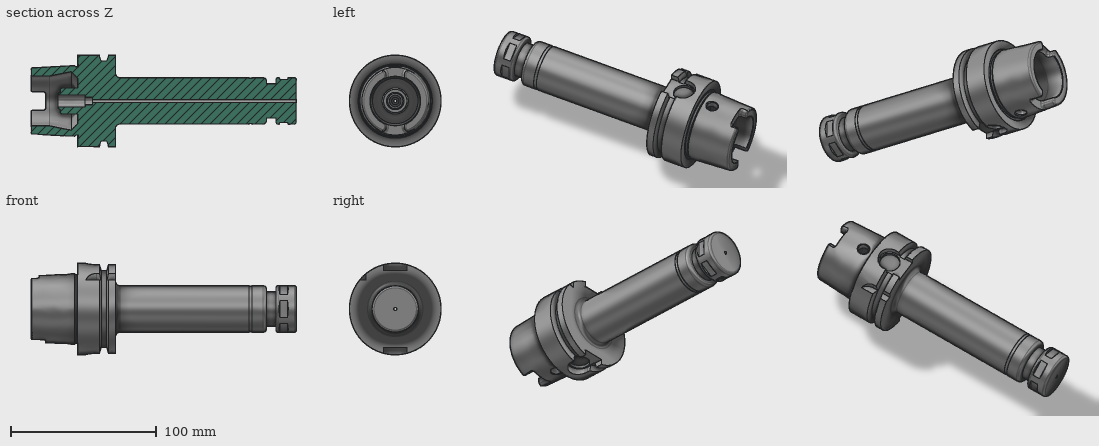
import cadquery as cq


taper_end = -32.0
flange_end = 26.0
shank_end = 129.5
nut_start = 135.9
nut_end = 150.0

taper_front_radius = 22.75
taper_base_radius = 24.35
taper_base = -2.2
taper_nose_round = 1.2
relief_start = -1.2
relief_radius = 23.5
face_recess_depth = 0.4
face_recess_floor_radius = 25.1
face_recess_radius = 25.5

flange_radius = 31.5
groove_center = 18.0
groove_mouth_width = 6.3
groove_floor_width = 3.7
groove_radius = 27.5

shank_radius = 16.0
shank_root_round = 3.0
shank_end_round = 2.3
neck_radius = 12.0
band_start = 117.3
band_end = 119.4
band_depth = 0.25
nut_radius = 16.0
nut_edge_round = 1.5

bore_radius = 17.0
bore_mouth_chamfer = 0.4
bore_straight_end = -19.4
undercut_radius = 20.0
bore_floor = 0.0
bore_floor_chamfer = 4.4

coolant_nut_radius = 9.0
coolant_nut_start = -12.1
coolant_nut_chamfer = 1.0
tube_radius = 6.0
tube_start = -13.4
tube_chamfer = 0.8
tube_bore_radius = 4.0
tube_bore_end = 5.0
feed_bore_radius = 2.5
feed_bore_end = 10.0
through_hole_radius = 1.0

drive_slot_half_width = 6.3
drive_slot_top_depth = 5.5
drive_slot_bottom_depth = 10.0
drive_slot_flare_start = 17.9
drive_slot_flare_radius = 3.2
drive_slot_floor_round = 1.6
drive_slot_edge_round = 1.1

access_hole_x = -8.9
access_hole_diameter = 7.5
access_sink_diameter = 9.0

cutout_width = 16.0
cutout_center_x = 12.8
key_slot_floor = 26.5
key_recess_diameter = 14.0
key_recess_depth = 2.2
notch_floor = 20.0
notch_wall = 20.0

wrench_flat_count = 6
wrench_flat_distance = 14.9
wrench_flat_start = 138.7
wrench_flat_end = 143.8
wrench_flat_wall_run = 0.6


def revolve_about_x(profile):
    """Turn a closed profile, drawn as (x, radius), about the X axis."""
    return profile.close().revolve(360, (0, 0, 0), (1, 0, 0))


def cylinder_x(radius, start, end):
    return cq.Workplane("YZ").workplane(offset=start).circle(radius).extrude(end - start)


def taper_and_flange():
    mouth_half = groove_mouth_width / 2
    floor_half = groove_floor_width / 2
    profile = cq.Workplane("XY").polyline([
        (taper_end, 0),
        (taper_end, taper_front_radius),
        (taper_base, taper_base_radius),
        (relief_start, relief_radius),
        (face_recess_depth, relief_radius),
        (face_recess_depth, face_recess_floor_radius),
        (0, face_recess_radius),
        (0, flange_radius),
        (groove_center - mouth_half, flange_radius),
        (groove_center - floor_half, groove_radius),
        (groove_center + floor_half, groove_radius),
        (groove_center + mouth_half, flange_radius),
        (flange_end, flange_radius),
        (flange_end, 0),
    ])
    return revolve_about_x(profile).faces("<X").edges().fillet(taper_nose_round)


def shank_and_nut():
    root_radius = shank_radius + shank_root_round
    band_radius = shank_radius - band_depth
    profile = (
        cq.Workplane("XY")
        .moveTo(0, 0)
        .lineTo(0, root_radius)
        .lineTo(flange_end, root_radius)
        .radiusArc((flange_end + shank_root_round, shank_radius), -shank_root_round)
        .lineTo(band_start, shank_radius)
        .lineTo(band_start, band_radius)
        .lineTo(band_end, band_radius)
        .lineTo(band_end, shank_radius)
        .lineTo(shank_end - shank_end_round, shank_radius)
        .radiusArc((shank_end, shank_radius - shank_end_round), shank_end_round)
        .lineTo(shank_end, neck_radius)
        .lineTo(nut_start, neck_radius)
        .lineTo(nut_start, nut_radius - nut_edge_round)
        .radiusArc((nut_start + nut_edge_round, nut_radius), nut_edge_round)
        .lineTo(nut_end - nut_edge_round, nut_radius)
        .radiusArc((nut_end, nut_radius - nut_edge_round), nut_edge_round)
        .lineTo(nut_end, 0)
    )
    return revolve_about_x(profile)


def hollow():
    """Bore that widens in a cone behind its straight stretch, with a chamfered floor corner."""
    profile = cq.Workplane("XY").polyline([
        (taper_end, 0),
        (taper_end, bore_radius + bore_mouth_chamfer),
        (taper_end + bore_mouth_chamfer, bore_radius),
        (bore_straight_end, bore_radius),
        (bore_floor - bore_floor_chamfer, undercut_radius),
        (bore_floor, undercut_radius - bore_floor_chamfer),
        (bore_floor, 0),
    ])
    return revolve_about_x(profile)


def coolant_tube():
    nut = cylinder_x(coolant_nut_radius, coolant_nut_start, bore_floor)
    nut = nut.faces("<X").chamfer(coolant_nut_chamfer)
    tube = cylinder_x(tube_radius, tube_start, bore_floor)
    tube = tube.faces("<X").chamfer(tube_chamfer)
    return nut.union(tube)


def coolant_bores():
    through = cylinder_x(through_hole_radius, tube_start, nut_end)
    tube_bore = cylinder_x(tube_bore_radius, tube_start, tube_bore_end)
    feed_bore = cylinder_x(feed_bore_radius, tube_start, feed_bore_end)
    return through.union(tube_bore).union(feed_bore)


def drive_slot(depth):
    """Slot in the +Z side of the taper nose, flaring outwards, with rounded mouth and floor."""
    inner = bore_radius / 2
    flare_top = drive_slot_flare_start + drive_slot_flare_radius
    flare_half_width = drive_slot_half_width + drive_slot_flare_radius
    far_half_width = taper_base_radius
    far_top = flange_radius
    floor_x = taper_end + depth
    slot = (
        cq.Workplane("YZ")
        .workplane(offset=taper_end)
        .moveTo(-drive_slot_half_width, inner)
        .lineTo(-drive_slot_half_width, drive_slot_flare_start)
        .radiusArc((-flare_half_width, flare_top), -drive_slot_flare_radius)
        .lineTo(-far_half_width, flare_top)
        .lineTo(-far_half_width, far_top)
        .lineTo(far_half_width, far_top)
        .lineTo(far_half_width, flare_top)
        .lineTo(flare_half_width, flare_top)
        .radiusArc((drive_slot_half_width, drive_slot_flare_start), -drive_slot_flare_radius)
        .lineTo(drive_slot_half_width, inner)
        .close()
        .extrude(depth)
    )
    air_size = 4 * far_top
    air_ahead = cq.Workplane("YZ", origin=(taper_end, 0, 0)).rect(air_size, air_size)
    cutter = slot.union(air_ahead.extrude(-drive_slot_edge_round))

    def wall_edges(x):
        """Straight and flared wall edges lying in the plane at x."""
        gap = 0.1
        low = (x - gap, -far_half_width, inner)
        high = (x + gap, far_half_width, flare_top + gap)
        return cq.selectors.BoxSelector(low, high)

    cutter = cutter.edges(wall_edges(floor_x)).fillet(drive_slot_floor_round)
    return cutter.edges(wall_edges(taper_end)).fillet(drive_slot_edge_round)


def access_hole():
    """Countersunk hole from +Z into the hollow."""
    sink_depth = (access_sink_diameter - access_hole_diameter) / 2
    taper_slope = (taper_base_radius - taper_front_radius) / (taper_base - taper_end)
    surface = taper_front_radius + taper_slope * (access_hole_x - taper_end)
    hole_radius = access_hole_diameter / 2
    start = (bore_radius + coolant_nut_radius) / 2
    profile = cq.Workplane("XZ", origin=(access_hole_x, 0, 0)).polyline([
        (0, start),
        (hole_radius, start),
        (hole_radius, surface - sink_depth),
        (access_sink_diameter / 2, surface),
        (access_sink_diameter / 2, flange_radius),
        (0, flange_radius),
    ])
    return profile.close().revolve(360, (0, 0, 0), (0, 1, 0))


def round_ended_slot(center_y, floor):
    """Slot open towards +X with a round end, milled down from +Z to the floor height."""
    height = flange_radius - floor
    length = flange_end - cutout_center_x
    plane = cq.Workplane("XY", origin=(cutout_center_x, center_y, floor))
    end = plane.circle(cutout_width / 2).extrude(height)
    straight = plane.rect(length, cutout_width, centered=False).extrude(height)
    straight = straight.translate((0, -cutout_width / 2, 0))
    return end.union(straight)


def key_slot():
    recess = (
        cq.Workplane("XY", origin=(cutout_center_x, 0, key_slot_floor - key_recess_depth))
        .circle(key_recess_diameter / 2)
        .extrude(key_recess_depth)
    )
    return round_ended_slot(0, key_slot_floor).union(recess)


def chip_notch():
    """Notch in the flange on the -Y, +Z side."""
    return round_ended_slot(-notch_wall - cutout_width / 2, notch_floor)


def wrench_flats():
    tooth_height = nut_radius - wrench_flat_distance
    outer = nut_radius + tooth_height
    run = 2 * wrench_flat_wall_run
    cutter = (
        cq.Workplane("XZ")
        .polyline([
            (wrench_flat_start, -wrench_flat_distance),
            (wrench_flat_end, -wrench_flat_distance),
            (wrench_flat_end + run, -outer),
            (wrench_flat_start - run, -outer),
        ])
        .close()
        .extrude(nut_radius, both=True)
        .rotate((0, 0, 0), (1, 0, 0), -90)
    )
    cutters = cq.Workplane("XY")
    for index in range(wrench_flat_count):
        angle = index * 360 / wrench_flat_count
        cutters = cutters.add(cutter.rotate((0, 0, 0), (1, 0, 0), angle))
    return cutters.combine()


def opposite(shape):
    """The same shape turned half a turn about the X axis."""
    return shape.rotate((0, 0, 0), (1, 0, 0), 180)


result = taper_and_flange().union(shank_and_nut())
result = result.cut(drive_slot(drive_slot_top_depth))
result = result.cut(opposite(drive_slot(drive_slot_bottom_depth)))
result = result.cut(hollow())
for cutter in (access_hole(), key_slot()):
    result = result.cut(cutter).cut(opposite(cutter))
result = result.cut(chip_notch())
result = result.cut(wrench_flats())
result = result.union(coolant_tube()).cut(coolant_bores())